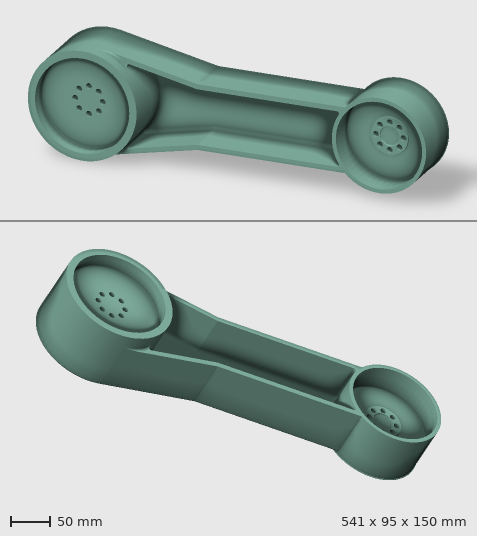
import cadquery as cq
import math

HUB_SPACING = 400.0
TOTAL_DEPTH = 95.0

BIG_RADIUS = 75.0
BIG_BORE_RADIUS = 65.0
BIG_BORE_DEPTH = 22.0
BIG_BORE_FLOOR_FILLET = 2.0

SMALL_RADIUS = 65.0
SMALL_BORE_RADIUS = 59.5
SMALL_BORE_DEPTH = 37.0
SMALL_BORE_FLOOR_FILLET = 1.0

FLANGE_RADIUS = 66.0
FLANGE_THICKNESS = 1.0

ARM_FRONT = 22.0
ARM_BACK = 92.0
ARM_HALF_HEIGHT = 45.0
KNEE_X = 150.0
BACK_FILLET = 3.0
HUB_FILLET = 3.0

POCKET_WALL = 7.0
POCKET_DEPTH = 58.0
POCKET_FLOOR_FILLET = 5.0
POCKET_CORNER_FILLET = 3.0

BOLT_COUNT = 8
BOLT_CIRCLE_RADIUS = 19.0
BOLT_HOLE_DIAMETER = 8.0

PAD_OUTER_RADIUS = 25.5
PAD_INNER_RADIUS = 13.5
PAD_HEIGHT = 2.0


def cylinder(x, radius, front, back):
    """Solid cylinder about a Y-parallel axis at x, from y = front to y = back."""
    plane = cq.Workplane("XZ", origin=(x, back, 0))
    return plane.circle(radius).extrude(back - front)


def arm_outline(inset, front, back):
    """Tapered arm between the hub axes, its sides tangent to the big hub and moved in by inset."""
    knee_distance = math.hypot(KNEE_X, ARM_HALF_HEIGHT)
    taper = math.asin(BIG_RADIUS / knee_distance) - math.atan2(ARM_HALF_HEIGHT, KNEE_X)
    radius = BIG_RADIUS - inset
    start_x = radius * math.sin(taper)
    start_z = radius * math.cos(taper)
    knee_x = KNEE_X - inset * math.tan(taper / 2)
    half_height = ARM_HALF_HEIGHT - inset
    upper = [(start_x, start_z), (knee_x, half_height), (HUB_SPACING, half_height)]
    lower = [(x, -z) for x, z in reversed(upper)]
    plane = cq.Workplane("XZ", origin=(0, back, 0))
    return plane.polyline(upper + lower).close().extrude(back - front)


def bolt_holes(x):
    """Circle of through holes about the hub axis at x."""
    plane = cq.Workplane("XZ", origin=(x, TOTAL_DEPTH, 0))
    pattern = plane.polarArray(BOLT_CIRCLE_RADIUS, 0, 360, BOLT_COUNT)
    return pattern.circle(BOLT_HOLE_DIAMETER / 2).extrude(TOTAL_DEPTH)


def hub_collar():
    """Concave fillet between the big hub and the arm's front face, ending at the arm's sides."""
    collar_front = ARM_FRONT - HUB_FILLET
    collar_radius = BIG_RADIUS + HUB_FILLET
    ring = cylinder(0, collar_radius, collar_front, ARM_FRONT)
    ring = ring.cut(cylinder(0, BIG_RADIUS, collar_front, ARM_FRONT))
    groove = cq.Solid.makeTorus(
        collar_radius, HUB_FILLET, cq.Vector(0, collar_front, 0), cq.Vector(0, 1, 0))
    return ring.cut(cq.Workplane(groove)).intersect(arm_outline(0, collar_front, ARM_FRONT))


def body():
    """Big hub and arm, with the rim of their shared back face rounded."""
    arm = arm_outline(0, ARM_FRONT, ARM_BACK)
    big_hub = cylinder(0, BIG_RADIUS, 0, ARM_BACK)
    shape = big_hub.union(arm)
    shape = shape.faces(">Y").edges().fillet(BACK_FILLET)
    return shape.union(hub_collar())


def pocket():
    """Arm pocket between the hub walls, with rounded end corners and a rounded floor edge."""
    floor = ARM_FRONT + POCKET_DEPTH
    shape = arm_outline(POCKET_WALL, ARM_FRONT - HUB_FILLET, floor)
    shape = shape.cut(cylinder(0, BIG_RADIUS, 0, floor))
    shape = shape.cut(cylinder(HUB_SPACING, SMALL_RADIUS, 0, floor))
    shape = shape.edges("|Y and (<<X[0] or >>X[0])").fillet(POCKET_CORNER_FILLET)
    return shape.faces(">Y").edges().fillet(POCKET_FLOOR_FILLET)


def small_hub():
    """Barrel flush with the arm's front face, ending in a thin flange at the back."""
    back_of_barrel = TOTAL_DEPTH - FLANGE_THICKNESS
    barrel = cylinder(HUB_SPACING, SMALL_RADIUS, ARM_FRONT, back_of_barrel)
    flange = cylinder(HUB_SPACING, FLANGE_RADIUS, back_of_barrel, TOTAL_DEPTH)
    return barrel.union(flange)


def big_bore():
    """Blind bore with a filleted floor."""
    shape = cylinder(0, BIG_BORE_RADIUS, 0, BIG_BORE_DEPTH)
    return shape.faces(">Y").edges().fillet(BIG_BORE_FLOOR_FILLET)


def small_bore():
    """Bore that leaves a raised annular bolt pad on its floor; every floor corner is filleted."""
    floor = ARM_FRONT + SMALL_BORE_DEPTH
    pad_face = floor - PAD_HEIGHT
    bore = cylinder(HUB_SPACING, SMALL_BORE_RADIUS, ARM_FRONT, floor)
    pad = cylinder(HUB_SPACING, PAD_OUTER_RADIUS, pad_face, floor)
    pad = pad.cut(cylinder(HUB_SPACING, PAD_INNER_RADIUS, pad_face, floor))
    return bore.cut(pad).faces(">Y").edges().fillet(SMALL_BORE_FLOOR_FILLET)


solid_arm = body().union(small_hub())
bored_arm = solid_arm.cut(pocket()).cut(big_bore()).cut(small_bore())
result = bored_arm.cut(bolt_holes(0)).cut(bolt_holes(HUB_SPACING))